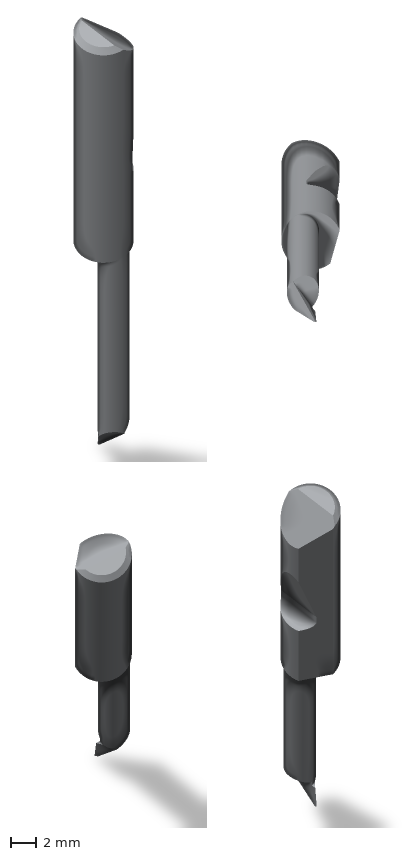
import cadquery as cq
import math

total_length = 50.45
shank_radius = 2.35
shank_bottom = 25.0
rim_chamfer = 0.45
flat_distance = 1.9
flat_angle = 143.0
end_slope_start = -0.6

notch_top = 42.5
notch_bottom = 33.55
notch_depth = 1.25
notch_angle = 10.0
notch_radius = 0.85

neck_radius = 1.25
neck_x = shank_radius - neck_radius
rake_top = 3.8

ledge_height = 3.2
point_x = -0.45
side_x = -0.65
side_lean = 0.05
side_relief = 1.0
edge_slope = 1.3
edge_relief = 1.2
overhang_depth = 0.75
nose_height = 0.2

block = 2 * total_length


def half_space(origin, normal):
    """Large block lying on the side of a plane that its normal points to."""
    plane = cq.Plane(origin=origin, normal=normal)
    return cq.Workplane(plane).rect(block, block).extrude(block)


def make_shank():
    length = total_length - shank_bottom
    shank = cq.Workplane("XY").workplane(offset=shank_bottom).circle(shank_radius).extrude(length)
    shank = shank.faces(">Z").chamfer(rim_chamfer)
    shank = shank.cut(half_space((0, end_slope_start, total_length), (0, 1, 1)))
    facing = (math.cos(math.radians(flat_angle)), math.sin(math.radians(flat_angle)), 0)
    flat_point = tuple(flat_distance * part for part in facing)
    return shank.cut(half_space(flat_point, facing)).cut(make_notch())


def make_notch():
    floor_y = shank_radius - notch_depth
    ramp_end = notch_top - notch_depth / math.tan(math.radians(notch_angle))
    corner = notch_bottom + notch_radius
    corner_y = floor_y + notch_radius
    diagonal = notch_radius * math.sqrt(0.5)
    return (
        cq.Workplane("YZ")
        .moveTo(shank_radius, notch_top)
        .lineTo(floor_y, ramp_end)
        .lineTo(floor_y, corner)
        .threePointArc((corner_y - diagonal, corner - diagonal), (corner_y, notch_bottom))
        .lineTo(shank_radius, notch_bottom)
        .close()
        .extrude(shank_radius, both=True)
    )


def make_neck():
    neck = cq.Workplane("XY").center(neck_x, 0).circle(neck_radius).extrude(shank_bottom)
    run_out = half_space((0, 0, rake_top), (0, 1, -1))
    behind_rake = half_space((0, 0, 0), (0, 1, 0))
    return neck.cut(run_out.intersect(behind_rake))


def make_overhang():
    """Block that carries the side edge out past the round neck."""
    size = (neck_x - side_x, overhang_depth, ledge_height)
    return cq.Workplane("XY").box(*size, centered=False).translate((side_x, -overhang_depth, 0))


def cut_tip_faces(tool):
    side_face = half_space((side_x, 0, 0), (-1, -side_relief, side_lean))
    below_ledge = half_space((0, 0, ledge_height), (0, 0, -1))
    end_face = half_space((point_x, 0, 0), (edge_slope, -edge_relief, -1))
    nose_slope = nose_height / (point_x - side_x)
    nose_face = half_space((point_x, 0, 0), (-nose_slope, -edge_relief, -1))
    return tool.cut(side_face.intersect(below_ledge)).cut(end_face).cut(nose_face)


tip_tool = cut_tip_faces(make_neck().union(make_overhang()))
result = make_shank().union(tip_tool)